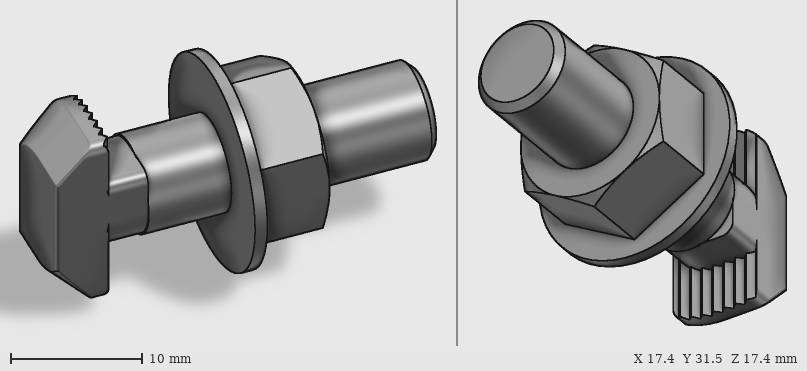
import cadquery as cq
import math


bolt_length = 31.5
shank_diameter = 7.95
shank_tip_chamfer = 0.63

head_width = 7.65
head_reach = 8.0
head_height = 4.5
head_end_chamfer = 3.0
corner_radius = 1.0
edge_radius = 0.28

tooth_pitch = 1.0
tooth_depth = tooth_pitch / 2

neck_top = 7.55

flange_diameter = 17.45
flange_thickness = 1.0
flange_bottom = 14.35
nut_height = 6.1
nut_across_flats = 12.7
nut_chamfer_angle = math.radians(30)

half_width = head_width / 2
flange_top = flange_bottom + flange_thickness
nut_top = flange_top + nut_height
nut_flat_radius = nut_across_flats / 2
nut_corner_radius = nut_flat_radius / math.cos(math.pi / 6)


def plane_at(y):
    """XZ plane at height y whose local x, y and normal are X, -Z and +Y."""
    return cq.Workplane(cq.Plane(origin=(0, y, 0), xDir=(1, 0, 0), normal=(0, 1, 0)))


def turning_prism(reach, bottom, top):
    """Prism with two square corners and, on the other diagonal, two arcs centred on the axis."""
    arc_end = math.sqrt(reach**2 - half_width**2)
    arc_middle_angle = (math.pi / 2 + math.acos(half_width / reach)) / 2
    middle_x = reach * math.cos(arc_middle_angle)
    middle_z = reach * math.sin(arc_middle_angle)
    return (
        cq.Workplane("XZ", origin=(0, bottom, 0))
        .moveTo(0, reach)
        .lineTo(half_width, reach)
        .lineTo(half_width, -arc_end)
        .threePointArc((middle_x, -middle_z), (0, -reach))
        .lineTo(-half_width, -reach)
        .lineTo(-half_width, arc_end)
        .threePointArc((-middle_x, middle_z), (0, reach))
        .close()
        .extrude(bottom - top)
    )


def head_envelope():
    """Beveled ends of the head: flat over two quadrants, conical over the other two."""
    profile = [
        (0, 0),
        (head_reach - head_end_chamfer, 0),
        (head_reach, head_end_chamfer),
        (head_reach, head_height),
        (0, head_height),
    ]
    cone = cq.Workplane("XY").polyline(profile).close().revolve(360, (0, 0, 0), (0, 1, 0))
    flat_profile = [(y, z) for z, y in profile]
    flat_quadrant = cq.Workplane("YZ").polyline(flat_profile).close().extrude(half_width)
    opposite_quadrant = flat_quadrant.rotate((0, 0, 0), (0, 1, 0), 180)
    return cone.union(flat_quadrant).union(opposite_quadrant)


def softened_edges(head):
    """Edges around the outer face and the bevels, except the seams and the sharp lower face edge."""
    tolerance = 0.003
    edges = []
    for edge in head.edges().vals():
        center = edge.Center()
        beside_underside = center.y > head_end_chamfer + tolerance
        on_bevel_seam = abs(center.x) < tolerance
        on_lower_face_edge = center.y < tolerance and center.z < -half_width
        if not (beside_underside or on_bevel_seam or on_lower_face_edge):
            edges.append(edge)
    return edges


def make_head():
    head = turning_prism(head_reach, 0, head_height)
    head = head.edges("|Y and (<X or >X)").fillet(corner_radius)
    head = head.intersect(head_envelope())
    return head.newObject(softened_edges(head)).fillet(edge_radius)


def tooth_grooves():
    """Grooves whose bottoms lie midway between the crests; one crest is on the axis plane."""
    grooves = cq.Workplane("XY")
    groove_pairs = math.ceil(half_width / tooth_pitch)
    for index in range(-groove_pairs, groove_pairs):
        crest = index * tooth_pitch
        groove = (
            cq.Workplane("XY", origin=(0, 0, -head_reach))
            .moveTo(crest, head_height)
            .lineTo(crest + tooth_pitch / 2, head_height - tooth_depth)
            .lineTo(crest + tooth_pitch, head_height)
            .close()
            .extrude(2 * head_reach)
        )
        grooves = grooves.union(groove)
    return grooves


def make_neck():
    """Neck that starts at the groove bottoms, so that it fills the grooves beneath it."""
    neck = turning_prism(half_width, head_height - tooth_depth, neck_top)
    return neck.edges("|Y").edges("<(1, 0, 1) or >(1, 0, 1)").fillet(corner_radius)


def make_shank():
    shank = plane_at(neck_top).circle(shank_diameter / 2).extrude(bolt_length - neck_top)
    return shank.faces(">Y").chamfer(shank_tip_chamfer)


def make_bolt():
    head = make_head().cut(tooth_grooves())
    return head.union(make_neck()).union(make_shank())


def nut_chamfer_envelope():
    """Cone that bevels the hexagon corners at the outer end of the nut."""
    drop = (nut_corner_radius - nut_flat_radius) * math.tan(nut_chamfer_angle)
    return (
        cq.Workplane("XY")
        .moveTo(0, flange_top)
        .lineTo(nut_corner_radius, flange_top)
        .lineTo(nut_corner_radius, nut_top - drop)
        .lineTo(nut_flat_radius, nut_top)
        .lineTo(0, nut_top)
        .close()
        .revolve(360, (0, 0, 0), (0, 1, 0))
    )


def make_flange_nut():
    """Hexagon with two corners on the Z axis, on a round flange, bored to fit the shank."""
    hexagon = (
        plane_at(flange_top)
        .transformed(rotate=(0, 0, 90))
        .polygon(6, 2 * nut_corner_radius)
        .extrude(nut_height)
        .intersect(nut_chamfer_envelope())
    )
    flange = plane_at(flange_bottom).circle(flange_diameter / 2).extrude(flange_thickness)
    bore = plane_at(flange_bottom).circle(shank_diameter / 2).extrude(nut_top - flange_bottom)
    return flange.union(hexagon).cut(bore)


bolt = make_bolt()
flange_nut = make_flange_nut()

result = cq.Compound.makeCompound([bolt.solids().val(), flange_nut.solids().val()])